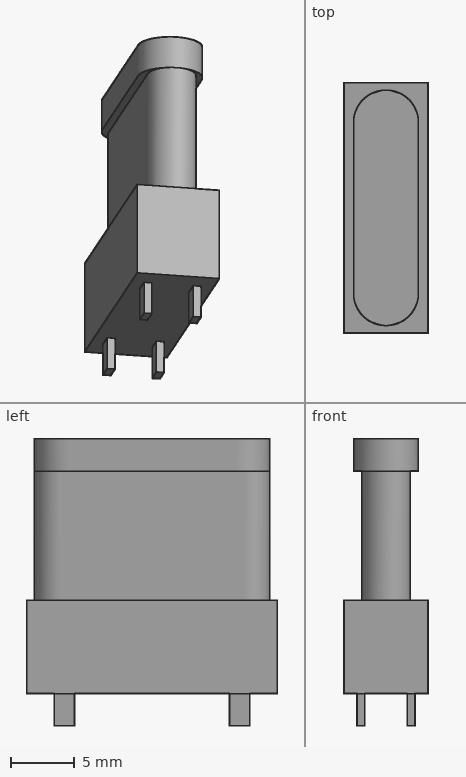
import cadquery as cq

total_height = 22.55
pin_height = 2.55
base_height = 7.33
cap_height = 2.55
stem_height = total_height - pin_height - base_height - cap_height

base_width = 6.6
base_length = 19.67

plate_length = 18.5
stem_width = 3.84
cap_width = 5.1

pin_width = 0.63
pin_length = 1.62
pin_spacing_x = 3.95
pin_spacing_y = 13.76

base_bottom = pin_height
stem_bottom = base_bottom + base_height
cap_bottom = stem_bottom + stem_height


def round_ended_plate(width, height, bottom):
    """Upright plate along Y with full-radius ends."""
    return (
        cq.Workplane("XY")
        .workplane(offset=bottom)
        .slot2D(plate_length, width, 90)
        .extrude(height)
    )


base = (
    cq.Workplane("XY")
    .workplane(offset=base_bottom)
    .rect(base_width, base_length)
    .extrude(base_height)
)

pins = (
    cq.Workplane("XY")
    .rarray(pin_spacing_x, pin_spacing_y, 2, 2)
    .rect(pin_width, pin_length)
    .extrude(pin_height)
)

stem = round_ended_plate(stem_width, stem_height, stem_bottom)
cap = round_ended_plate(cap_width, cap_height, cap_bottom)

result = base.union(pins).union(stem).union(cap)